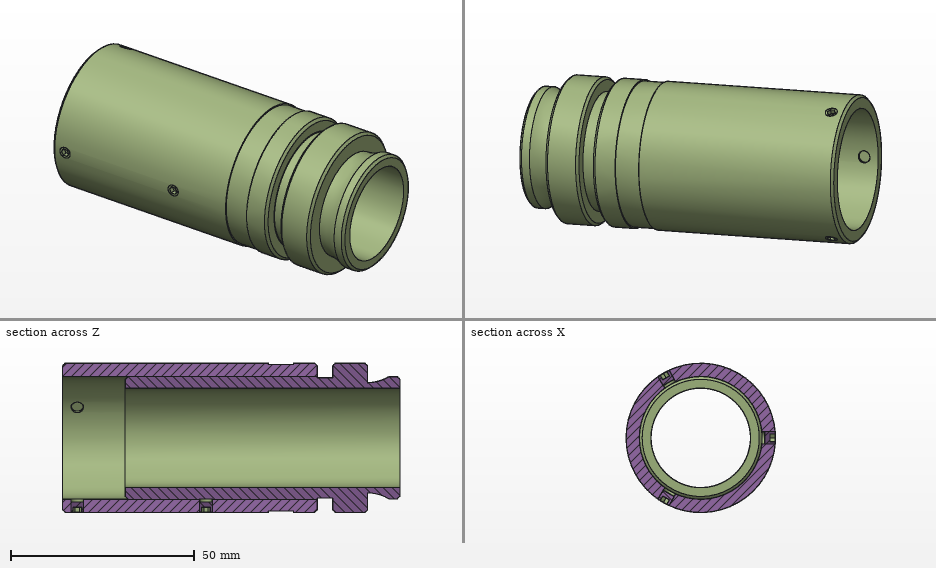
import cadquery as cq
import math

outer_dia = 40.65
overall_length = 91.8
edge_chamfer = 0.7

housing_length = 69.3
groove_dia = 39.9
groove_start = 56.0
groove_end = 62.8

tube_dia = 33.3
tube_bore_dia = 27.0
tube_start = 17.1
neck_dia = 32.8
collar_start = 73.4
collar_end = 83.0
waist_dia = 30.1
rim_start = 88.7

screw_dia = 3.3
screw_length = 2.8
screw_recess = 0.1
socket_across_flats = 2.0
socket_depth = 1.4
front_screw_x = 4.0
lock_screw_x = 39.0
front_screw_count = 3
first_screw_angle = 180.0

front_screw_places = [
    (front_screw_x, first_screw_angle + i * 360 / front_screw_count)
    for i in range(front_screw_count)
]
screw_places = front_screw_places + [(lock_screw_x, first_screw_angle)]


def cylinder(dia, start, end):
    """Solid cylinder along X from start to end."""
    return cq.Workplane("YZ", origin=(start, 0, 0)).circle(dia / 2).extrude(end - start)


def radial_plane(x, angle, radius):
    """Workplane at a radius from the X axis, with its normal pointing outwards."""
    across = math.cos(math.radians(angle))
    up = math.sin(math.radians(angle))
    return cq.Workplane(cq.Plane(
        origin=(x, radius * across, radius * up),
        xDir=(1, 0, 0),
        normal=(0, across, up),
    ))


def make_housing():
    body = cylinder(outer_dia, 0, housing_length).faces("<X or >X").chamfer(edge_chamfer)
    groove = cylinder(outer_dia, groove_start, groove_end).cut(
        cylinder(groove_dia, groove_start, groove_end)
    )
    body = body.cut(groove).cut(cylinder(tube_dia, 0, housing_length))
    for x, angle in screw_places:
        body = body.cut(radial_plane(x, angle, 0).circle(screw_dia / 2).extrude(outer_dia))
    return body


def make_flared_end():
    """Waist that flares in a concave arc, level at the collar, out to a chamfered rim."""
    flare_length = rim_start - collar_end
    flare_rise = (tube_dia - waist_dia) / 2
    flare_radius = (flare_length**2 + flare_rise**2) / (2 * flare_rise)
    half_sweep = math.asin(flare_length / flare_radius) / 2
    flare_middle = (
        collar_end + flare_radius * math.sin(half_sweep),
        waist_dia / 2 + flare_radius * (1 - math.cos(half_sweep)),
    )
    return (
        cq.Workplane("XY")
        .moveTo(collar_end, 0)
        .lineTo(collar_end, waist_dia / 2)
        .threePointArc(flare_middle, (rim_start, tube_dia / 2))
        .lineTo(overall_length - edge_chamfer, tube_dia / 2)
        .lineTo(overall_length, tube_dia / 2 - edge_chamfer)
        .lineTo(overall_length, 0)
        .close()
        .revolve(360, (0, 0, 0), (1, 0, 0))
    )


def make_eyepiece():
    inner_tube = cylinder(tube_dia, tube_start, housing_length).faces("<X").chamfer(edge_chamfer)
    neck = cylinder(neck_dia, housing_length, collar_start)
    collar = cylinder(outer_dia, collar_start, collar_end).faces("<X or >X").chamfer(edge_chamfer)
    body = inner_tube.union(neck).union(collar).union(make_flared_end())
    return body.cut(cylinder(tube_bore_dia, tube_start, overall_length))


def make_set_screw(x, angle):
    """Headless screw with a hexagon socket in its outer end."""
    socket_corner_dia = socket_across_flats / math.cos(math.radians(30))
    top = radial_plane(x, angle, outer_dia / 2 - screw_recess)
    shank = top.circle(screw_dia / 2).extrude(-screw_length)
    socket = top.polygon(6, socket_corner_dia).extrude(-socket_depth)
    return shank.cut(socket)


housing = make_housing()
eyepiece = make_eyepiece()
set_screws = [make_set_screw(x, angle) for x, angle in screw_places]

result = cq.Compound.makeCompound(
    [housing.val(), eyepiece.val(), *[screw.val() for screw in set_screws]]
)